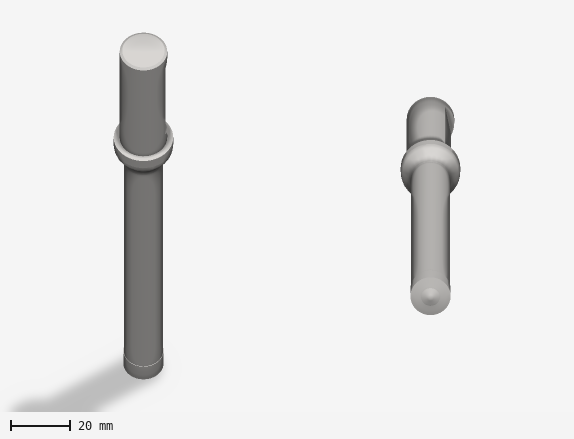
import cadquery as cq

overall_length = 175.1
point_base_z = 1.4
tip_rim_z = 2.1
seam_z = 9.1
stem_top_z = 114.9
collar_rim_z = 123.3
collar_top_z = 127.1

point_diameter = 6.3
stem_diameter = 13.1
tip_diameter = 13.5
shank_diameter = 16.0
collar_diameter = 20.0

chamfer_width = 0.9
chamfer_height = 0.5

flat_depth = 2.0
flat_bottom_z = 132.7
flat_top_z = 169.5

point_radius = point_diameter / 2
stem_radius = stem_diameter / 2
tip_radius = tip_diameter / 2
shank_radius = shank_diameter / 2
collar_radius = collar_diameter / 2


def make_holder_blank():
    """Revolve the stem, the collar with its S-shaped underside, and the shank."""
    return (
        cq.Workplane("XZ")
        .moveTo(0, seam_z)
        .lineTo(stem_radius, seam_z)
        .lineTo(stem_radius, stem_top_z)
        .spline([(collar_radius, collar_rim_z)], tangents=[(0, 1), (0, 1)], includeCurrent=True)
        .lineTo(collar_radius, collar_top_z)
        .lineTo(shank_radius, collar_top_z)
        .lineTo(shank_radius, overall_length - chamfer_height)
        .lineTo(shank_radius - chamfer_width, overall_length)
        .lineTo(0, overall_length)
        .close()
        .revolve(360, (0, 0), (0, 1))
    )


def make_flat_cutter():
    """Trapezoidal prism that removes the clamping flat from the shank."""
    flat_y = shank_radius - flat_depth
    return (
        cq.Workplane("YZ")
        .moveTo(flat_y, flat_bottom_z)
        .lineTo(shank_radius, flat_bottom_z - flat_depth)
        .lineTo(shank_radius, flat_top_z + flat_depth)
        .lineTo(flat_y, flat_top_z)
        .close()
        .extrude(shank_radius, both=True)
    )


def make_holder():
    """Stem, collar and shank with the clamping flat."""
    return make_holder_blank().cut(make_flat_cutter())


def make_drill_tip():
    """Cutting tip with a shallow conical face and a steeper centre point."""
    return (
        cq.Workplane("XZ")
        .lineTo(point_radius, point_base_z)
        .lineTo(tip_radius, tip_rim_z)
        .lineTo(tip_radius, seam_z)
        .lineTo(0, seam_z)
        .close()
        .revolve(360, (0, 0), (0, 1))
    )


holder = make_holder()
drill_tip = make_drill_tip()

result = cq.Compound.makeCompound([holder.val(), drill_tip.val()])